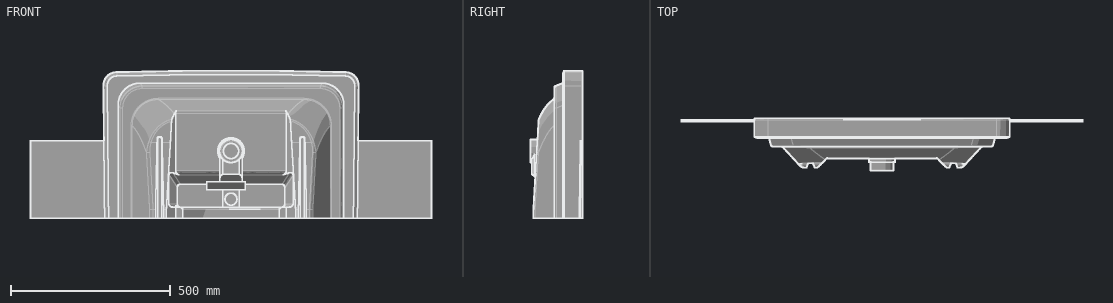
import cadquery as cq


PICK_MARGIN = 1.0

SHEET_LENGTH = 1254.0
SHEET_HEIGHT = 243.0
SHEET_THICKNESS = 3.1
SHEET_WALL_Y = -9.0
SHEET_FREE_Y = -5.0

RIM_WALL_WIDTH = 790.0
RIM_FREE_WIDTH = 799.0
RIM_HEIGHT = 458.0
RIM_CROWN = 5.0
RIM_CORNER = 43.0
RIM_DEPTH = 64.0
RIM_TOP_EDGE = 5.0
RIM_BEVEL_DEPTH = 5.0
RIM_BEVEL_WIDTH = 13.0
STEP_WIDTH = 707.0
STEP_HEIGHT = 424.0
STEP_SIDE_TAPER = 8.0
STEP_FREE_TAPER = 11.0
STEP_CORNER = 69.0
STEP_BOTTOM = 90.0
STEP_EDGE = 9.0
STEP_OVERLAP = 3.0

BOWL_WIDTH = 622.0
BOWL_HEIGHT = 374.0
PAD_WIDTH = 502.0
PAD_BOTTOM = 155.0
BOWL_LEVELS = [
    (STEP_BOTTOM, BOWL_HEIGHT, 82.0),
    (119.0, 345.0, 92.0),
    (140.0, 307.0, 102.0),
    (PAD_BOTTOM, 273.0, 108.0),
]
PAD_SHOULDER = (307.0, 139.0)
PAD_MIDDLE = (238.0, 143.0)
PAD_FLAT = 29.0
CREST_CLEARANCE = 13.0
PAD_EDGE = 15.0
BOWL_ROOT = 5.0

PANEL_DEPTH = 127.0
PANEL_WIDTH = 346.0
PANEL_MOUTH_WIDTH = 404.0
PANEL_EDGE = 15.0

GROOVE_X = 223.0
GROOVE_BED_WIDTH = 13.0
GROOVE_MOUTH_WIDTH = 25.0
GROOVE_DEPTH = 18.0
GROOVE_TOP = 261.0

APRON_THICKNESS = 35.0
POCKET_FLOOR = 28.0
POCKET_FLOOR_WIDTH = 336.0
POCKET_FLOOR_TOP = 107.0
POCKET_MOUTH_WIDTH = 391.0
POCKET_MOUTH_TOP = 149.0
POCKET_CORNER = 10.0
ARCH_WIDTH = 376.0
ARCH_CROWN_DEPTH = 82.0
ARCH_EDGE = 6.0

TAP_Z = 60.0
TAP_RADIUS = 19.0
TAP_HOLE_DEPTH = 6.0
TAP_PAD_WIDTH = 50.0
TAP_PAD_THICKNESS = 4.0

DRAIN_Z = 211.0
DRAIN_BOTTOM = 165.0
DRAIN_RADIUS = 36.0
DRAIN_EDGE = 4.0
DRAIN_BORE_RADIUS = 24.0
DRAIN_BORE_DEPTH = 13.0
COLLAR_RADIUS = 41.0
COLLAR_BOTTOM = 138.0
CHANNEL_WIDTH = 70.0
CHANNEL_TOP = 94.0
CHANNEL_BOTTOM = 160.0
CHANNEL_END = 138.0
CHANNEL_FOOT = 114.0
CHANNEL_EDGE = 9.0
LEDGE_LEFT = -76.0
LEDGE_RIGHT = 45.0
LEDGE_FOOT = 90.0
LEDGE_TOP = 114.0
LEDGE_LIP = 6.0
LEDGE_BOTTOM = 88.0


def plan(depth):
    """Workplane parallel to the deck at a depth; extrusions go towards -Y."""
    return cq.Workplane("XZ", origin=(0, -depth, 0))


def tombstone(depth, width, height, corner):
    """Outline standing on the wall face with its two free corners rounded."""
    half = width / 2
    return (
        plan(depth)
        .moveTo(-half, 0)
        .lineTo(-half, height - corner)
        .radiusArc((-half + corner, height), corner)
        .lineTo(half - corner, height)
        .radiusArc((half, height - corner), corner)
        .lineTo(half, 0)
        .close()
    )


def loft(outlines, ruled=True):
    """Solid stretched over a series of pending outlines."""
    wires = [outline.ctx.pendingWires[0] for outline in outlines]
    return cq.Workplane(cq.Solid.makeLoft(wires, ruled))


def near(low, high):
    """Selector for edges centred within a box between two corners, grown by a small margin."""
    low_corner = tuple(value - PICK_MARGIN for value in low)
    high_corner = tuple(value + PICK_MARGIN for value in high)
    return cq.selectors.BoxSelector(low_corner, high_corner)


def rim_outline(depth, inset):
    """Rim outline with a bowed free side, drawn in from its sides by an inset."""
    wall_half = RIM_WALL_WIDTH / 2 - inset
    half = RIM_FREE_WIDTH / 2 - inset
    height = RIM_HEIGHT - inset
    corner = RIM_CORNER - inset
    return (
        plan(depth)
        .moveTo(-wall_half, 0)
        .lineTo(-half, height - corner)
        .radiusArc((-half + corner, height), corner)
        .threePointArc((0, height + RIM_CROWN), (half - corner, height))
        .radiusArc((half, height - corner), corner)
        .lineTo(wall_half, 0)
        .close()
    )


def make_rim():
    bevel_start = RIM_DEPTH - RIM_BEVEL_DEPTH
    wall = rim_outline(0, 0).extrude(bevel_start)
    wall = wall.faces(">Y").edges("not <Z").fillet(RIM_TOP_EDGE)
    bevel = loft([rim_outline(bevel_start, 0), rim_outline(RIM_DEPTH, RIM_BEVEL_WIDTH)])
    return wall.union(bevel)


def make_step():
    root = tombstone(RIM_DEPTH - STEP_OVERLAP, STEP_WIDTH, STEP_HEIGHT, STEP_CORNER)
    bottom_width = STEP_WIDTH - 2 * STEP_SIDE_TAPER
    bottom = tombstone(STEP_BOTTOM, bottom_width, STEP_HEIGHT - STEP_FREE_TAPER, STEP_CORNER)
    step = loft([root, bottom])
    return step.faces("<Y").edges("not <Z").fillet(STEP_EDGE)


def make_sheets():
    return (
        cq.Workplane("YZ", origin=(-SHEET_LENGTH / 2, 0, 0))
        .moveTo(SHEET_WALL_Y, 0)
        .lineTo(SHEET_FREE_Y, SHEET_HEIGHT)
        .lineTo(SHEET_FREE_Y - SHEET_THICKNESS, SHEET_HEIGHT)
        .lineTo(SHEET_WALL_Y - SHEET_THICKNESS, 0)
        .close()
        .extrude(SHEET_LENGTH)
    )


def make_bowl():
    """Domed bowl with straight sides, trimmed to the sloping crest of the pads."""
    flare = (BOWL_WIDTH - PAD_WIDTH) / (PAD_BOTTOM - STEP_BOTTOM)
    levels = []
    for depth, height, corner in BOWL_LEVELS:
        width = BOWL_WIDTH - flare * (depth - STEP_BOTTOM)
        levels.append(tombstone(depth, width, height, corner))
    shoulder_z, shoulder_depth = PAD_SHOULDER
    middle_z, middle_depth = PAD_MIDDLE
    below = PAD_BOTTOM + CREST_CLEARANCE
    crest = (
        cq.Workplane("YZ", origin=(-BOWL_WIDTH / 2, 0, 0))
        .moveTo(-below, 0)
        .lineTo(-PAD_BOTTOM, 0)
        .lineTo(-PAD_BOTTOM, PAD_FLAT)
        .lineTo(-middle_depth, middle_z)
        .lineTo(-shoulder_depth, shoulder_z)
        .lineTo(-shoulder_depth, BOWL_HEIGHT)
        .lineTo(-below, BOWL_HEIGHT)
        .close()
        .extrude(BOWL_WIDTH)
    )
    bowl = loft(levels, ruled=False).cut(crest)

    half = BOWL_WIDTH / 2
    panel_half = PANEL_WIDTH / 2
    lowest = -PAD_BOTTOM + 2 * PICK_MARGIN
    above_wall = PAD_FLAT / 4
    left_edges = near((-half, lowest, above_wall), (-panel_half, -shoulder_depth, BOWL_HEIGHT))
    right_edges = near((panel_half, lowest, above_wall), (half, -shoulder_depth, BOWL_HEIGHT))
    return bowl.edges(left_edges + right_edges).fillet(PAD_EDGE)


def panel_recess():
    """Flared trough that sinks the middle of the bowl below the pads."""
    return (
        cq.Workplane("XY")
        .moveTo(-PANEL_WIDTH / 2, -PANEL_DEPTH)
        .lineTo(PANEL_WIDTH / 2, -PANEL_DEPTH)
        .lineTo(PANEL_MOUTH_WIDTH / 2, -PAD_BOTTOM)
        .lineTo(-PANEL_MOUTH_WIDTH / 2, -PAD_BOTTOM)
        .close()
        .extrude(BOWL_HEIGHT)
    )


def groove_outline(depth, x, width):
    radius = width / 2
    shoulder = GROOVE_TOP - GROOVE_MOUTH_WIDTH / 2
    return (
        plan(depth)
        .moveTo(x - radius, 0)
        .lineTo(x - radius, shoulder)
        .radiusArc((x + radius, shoulder), radius)
        .lineTo(x + radius, 0)
        .close()
    )


def pad_groove(side):
    bed = groove_outline(PAD_BOTTOM - GROOVE_DEPTH, side * GROOVE_X, GROOVE_BED_WIDTH)
    mouth = groove_outline(PAD_BOTTOM, side * GROOVE_X, GROOVE_MOUTH_WIDTH)
    return loft([bed, mouth])


def pocket_outline(depth, width, top):
    height = top - APRON_THICKNESS
    return plan(depth).center(0, APRON_THICKNESS + height / 2).rect(width, height)


def tap_pocket():
    floor = pocket_outline(POCKET_FLOOR, POCKET_FLOOR_WIDTH, POCKET_FLOOR_TOP)
    mouth = pocket_outline(PAD_BOTTOM, POCKET_MOUTH_WIDTH, POCKET_MOUTH_TOP)
    pocket = loft([floor, mouth])
    return pocket.edges("not (>Y or <Y)").fillet(POCKET_CORNER)


def apron_arch():
    half = ARCH_WIDTH / 2
    return (
        cq.Workplane("XY")
        .moveTo(-half, -PAD_BOTTOM)
        .threePointArc((0, -ARCH_CROWN_DEPTH), (half, -PAD_BOTTOM))
        .close()
        .extrude(APRON_THICKNESS)
    )


def make_tap_pad():
    height = POCKET_FLOOR_TOP - APRON_THICKNESS
    return (
        plan(0)
        .center(0, APRON_THICKNESS + height / 2)
        .rect(TAP_PAD_WIDTH, height)
        .extrude(POCKET_FLOOR + TAP_PAD_THICKNESS)
    )


def tap_hole():
    face = POCKET_FLOOR + TAP_PAD_THICKNESS
    return plan(face - TAP_HOLE_DEPTH).center(0, TAP_Z).circle(TAP_RADIUS).extrude(TAP_HOLE_DEPTH)


def make_overflow():
    """Channel running from the drain towards the wall, and the ledge at its foot."""
    channel = (
        cq.Workplane("YZ", origin=(-CHANNEL_WIDTH / 2, 0, 0))
        .moveTo(-CHANNEL_TOP, CHANNEL_FOOT)
        .lineTo(-PANEL_DEPTH, CHANNEL_FOOT)
        .lineTo(-CHANNEL_BOTTOM, CHANNEL_END)
        .lineTo(-CHANNEL_BOTTOM, DRAIN_Z)
        .lineTo(-CHANNEL_TOP, DRAIN_Z)
        .close()
        .extrude(CHANNEL_WIDTH)
        .edges("<Y and |Z")
        .chamfer(CHANNEL_EDGE)
    )
    ledge = (
        cq.Workplane("YZ", origin=(LEDGE_LEFT, 0, 0))
        .moveTo(0, LEDGE_FOOT)
        .lineTo(-POCKET_FLOOR - LEDGE_LIP, LEDGE_FOOT)
        .lineTo(-LEDGE_BOTTOM, LEDGE_TOP)
        .lineTo(0, LEDGE_TOP)
        .close()
        .extrude(LEDGE_RIGHT - LEDGE_LEFT)
    )
    return channel.union(ledge)


def make_drain():
    collar_length = COLLAR_BOTTOM - STEP_BOTTOM
    pipe_length = DRAIN_BOTTOM - STEP_BOTTOM
    collar = plan(STEP_BOTTOM).center(0, DRAIN_Z).circle(COLLAR_RADIUS).extrude(collar_length)
    pipe = plan(STEP_BOTTOM).center(0, DRAIN_Z).circle(DRAIN_RADIUS).extrude(pipe_length)
    return collar.union(pipe.faces("<Y").edges().fillet(DRAIN_EDGE))


def drain_bore():
    top = DRAIN_BOTTOM - DRAIN_BORE_DEPTH
    return plan(top).center(0, DRAIN_Z).circle(DRAIN_BORE_RADIUS).extrude(DRAIN_BORE_DEPTH)


def soften(body):
    """Round the two long panel edges, the edge of the arch and the root of the bowl."""
    lower_edge = near((0, -PANEL_DEPTH, POCKET_FLOOR_TOP), (0, -PANEL_DEPTH, POCKET_MOUTH_TOP))
    upper_edge = near((0, -PANEL_DEPTH, DRAIN_Z), (0, -PANEL_DEPTH, BOWL_HEIGHT))
    arch_edge = near((0, -PAD_BOTTOM, APRON_THICKNESS), (0, -ARCH_CROWN_DEPTH, APRON_THICKNESS))
    half = BOWL_WIDTH / 2
    root_edges = near((-half, -STEP_BOTTOM, 2 * PICK_MARGIN), (half, -STEP_BOTTOM, BOWL_HEIGHT))
    body = body.edges(lower_edge).fillet(PANEL_EDGE)
    body = body.edges(upper_edge).fillet(PANEL_EDGE)
    body = body.edges(arch_edge).fillet(ARCH_EDGE)
    return body.edges(root_edges).fillet(BOWL_ROOT)


bowl = make_bowl().cut(panel_recess())
for groove_side in (-1, 1):
    bowl = bowl.cut(pad_groove(groove_side))

basin = make_rim().union(make_step()).union(bowl).union(make_sheets())
basin = basin.cut(tap_pocket()).cut(apron_arch())
basin = soften(basin)
basin = basin.union(make_tap_pad()).cut(tap_hole())
result = basin.union(make_overflow()).union(make_drain()).cut(drain_bore())